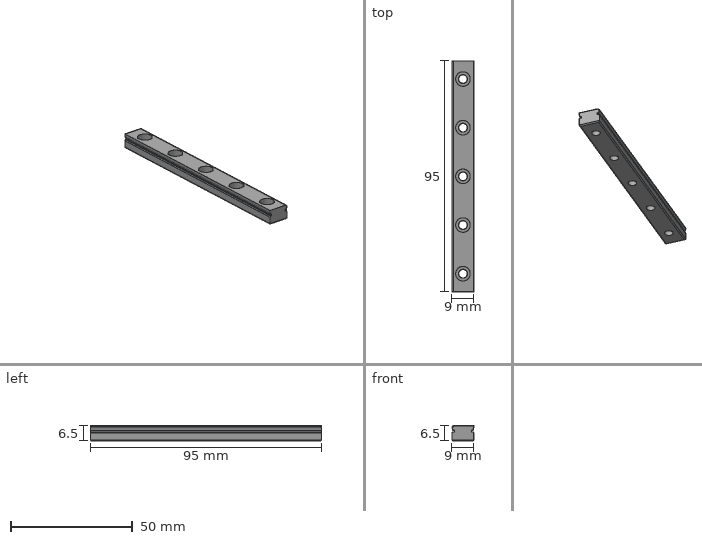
import cadquery as cq
length = 95.0
width = 9.0
height = 6.5
bottom_chamfer = 0.5
top_chamfer = 0.6
bevel_end_chamfer = 0.3

mouth_top_drop = 0.8
slot_top_drop = 2.0
mouth_bottom_drop = 3.0
slot_height = 0.6
mouth_depth = 0.34
groove_depth = 0.95

hole_count = 5
end_margin = 7.5
hole_pitch = (length - 2 * end_margin) / (hole_count - 1)
hole_diameter = 3.5
bore_diameter = 6.0
bore_depth = 3.5


def make_body():
    """Block with all bottom edges and one long top edge chamfered.

    The top chamfer is itself broken at both ends of the rail.
    """
    body = cq.Workplane("XY").box(width, length, height, centered=(True, True, False))
    body = body.faces("<Z").edges().chamfer(bottom_chamfer)
    body = body.edges("|Y and >Z and <X").chamfer(top_chamfer)
    top_bevel = body.faces(">(-1, 0, 1)")
    return top_bevel.edges("not |Y").chamfer(bevel_end_chamfer)


def make_groove(side):
    """Groove cutter along one long side; side is -1 or +1 in X."""
    face_x = side * width / 2
    mouth_x = face_x - side * mouth_depth
    floor_x = face_x - side * groove_depth
    slot_top = height - slot_top_drop
    slot_bottom = slot_top - slot_height
    profile = [
        (face_x, height - mouth_top_drop),
        (mouth_x, slot_top),
        (floor_x, slot_top),
        (floor_x, slot_bottom),
        (mouth_x, slot_bottom),
        (face_x, height - mouth_bottom_drop),
    ]
    return cq.Workplane("XZ").polyline(profile).close().extrude(length / 2, both=True)


def drill_holes(body):
    """Row of counterbored through holes down the centreline."""
    return (
        body.faces(">Z")
        .workplane(origin=(0, 0, height))
        .rarray(0.95, hole_pitch, 1, hole_count)
        .cboreHole(hole_diameter, bore_diameter, bore_depth)
    )


result = make_body()
for groove_side in (-1, 1):
    result = result.cut(make_groove(groove_side))
result = drill_holes(result)